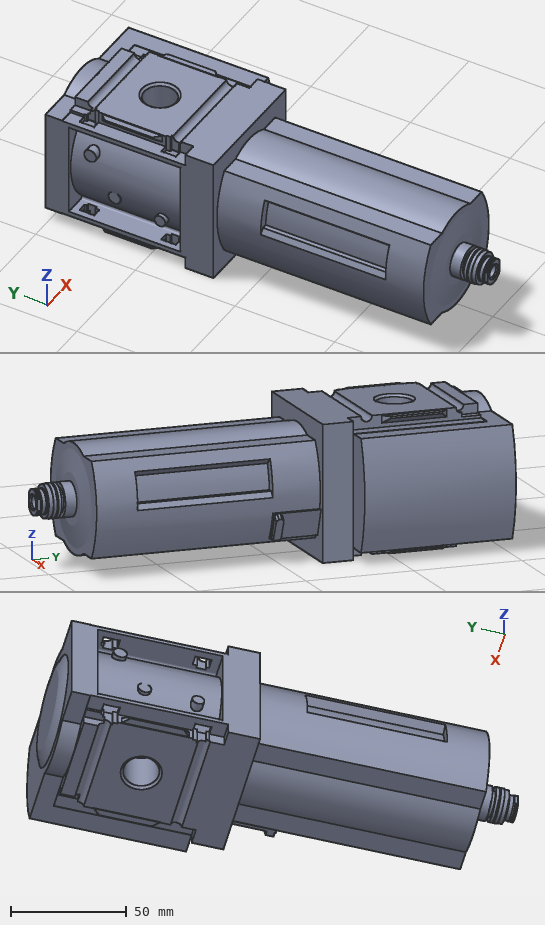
import cadquery as cq
import math


WIDTH = 62.0
HALF = WIDTH / 2
REAR_Y = 84.4
REAR_PLATE = 8.4
BLOCK_REAR_Y = REAR_Y - REAR_PLATE
COLLAR_LENGTH = 14.2
COVER_HALF_HEIGHT = 25.5
STRIP_STEP = 0.2
STRIP_HALF_HEIGHT = COVER_HALF_HEIGHT - STRIP_STEP
BLOCK_HALF_WIDTH = 23.9

COVER_CORNER_X = 40.2
COVER_CREST_X = 44.8
BUMP_HALF_WIDTH = 14.9
BUMP_TOP = 30.4
DOME_RADIUS = 25.1
DOME_FLAT_RADIUS = 17.8
DOME_HEIGHT = 2.5
DOME_MID_RADIUS = 22.2
DOME_MID_HEIGHT = 1.5

PORT_Y = 45.0
PORT_DIAMETER = 15.7
PORT_MOUTH_DIAMETER = 18.0
PORT_CHAMFER = (PORT_MOUTH_DIAMETER - PORT_DIAMETER) / 2
PORT_DEPTH = 21.0
GROOVE_OFFSET = 22.0
GROOVE_RADIUS = 2.5
TONGUE_HALF_WIDTH = 19.9
NOTCH_FRONT_Y = 67.2
NOTCH_FLOOR = 26.5

LUG_REACH = 3.1
LUG_LENGTH = 30.1
LUG_TOP = 30.5
LUG_ROOT = 27.2
LUG_TIP = 29.7

WINDOW_REAR_Y = 72.6
WINDOW_FRONT_Y = 16.7
WINDOW_HALF_HEIGHT = 23.0
WINDOW_FLOOR_X = -19.9
WINDOW_CORNER_FILLET = 1.3
DRUM_RADIUS = 29.3
PINS = [
    (62.4, 10.9, 6.0, -30.1),
    (51.0, -8.5, 6.0, -28.7),
    (27.5, -11.0, 5.5, -30.1),
]
PIN_ROOT_X = -23.0
CLIP_SLOT_OFFSET = 20.5
CLIP_SLOT_LENGTH = 7.3
CLIP_SLOT_OUTER_X = -27.6
CLIP_SLOT_INNER_X = -23.2
CLIP_NECK_OFFSET = 21.0
CLIP_NECK_LENGTH = 4.2
CLIP_NECK_INNER_X = -22.0

BOWL_LENGTH = 103.6
BOWL_CORNER = 21.8
BOWL_SIDE_X = 28.0
BOWL_ROUND_RADIUS = 25.0
SIGHT_REAR_Y = -22.0
SIGHT_LENGTH = 62.5
SIGHT_DEPTH = 4.2
SIGHT_TOP = 16.1
SIGHT_FLOOR_TOP = 13.5
SIGHT_FLOOR_BOTTOM = 2.0
SIGHT_BOTTOM = -0.5
SIGHT_CHAMFER_X = 26.2

LATCH_TOP = -7.5
LATCH_BOTTOM = -19.9
LATCH_TOP_X = 28.9
LATCH_BOTTOM_X = 24.7
LATCH_ROOT = 3.3
LATCH_LENGTH = 21.8
RIDGE_LENGTH = 3.5
RIDGE_SETBACK = 0.5
RIDGE_REACH = 2.0
RIDGE_TIP_INSET = 1.0

CONE_RADIUS = 21.8
CONE_TIP_RADIUS = 11.7
CONE_HEIGHT = 1.5
NECK_DIAMETER = 15.7
NECK_RADIUS = NECK_DIAMETER / 2
NECK_END = 6.7
STEM_RADIUS = 5.9
RIM_RADIUS = 5.9
TIP_RADIUS = 5.7
TIP_FLATS_HALF_WIDTH = 5.0
NOZZLE_END = 18.8
DRAIN_BORE_DIAMETER = 6.0
DRAIN_MOUTH_CHAMFER = 0.6
DRAIN_BORE_DEPTH = 10.5
RINGS = [
    (8.4, 9.8, NECK_RADIUS),
    (10.5, 12.1, NECK_RADIUS),
    (12.1, 14.2, 7.5),
]
STEM_END = 14.9
TIP_FLATS_START = 17.2
TIP_RIMS = [(16.7, 17.5), (18.2, NOZZLE_END)]


def box(x0, x1, y0, y1, z0, z1):
    """Box between two opposite corners."""
    return cq.Workplane("XY").box(x1 - x0, y1 - y0, z1 - z0, centered=False).translate((x0, y0, z0))


def prism(outline, y0, y1):
    """Extrude a closed XZ wire from y0 to y1; the XZ workplane extrudes toward -Y."""
    return outline.close().extrude(y1 - y0).translate((0, y1, 0))


def cylinder_y(radius, y0, y1):
    """Cylinder about the Y axis from y0 to y1."""
    return cq.Workplane("XZ").circle(radius).extrude(y1 - y0).translate((0, y1, 0))


def both_sides_z(shape):
    """A shape together with its mirror image below."""
    return shape.union(shape.mirror("XY"))



def main_block():
    collar = box(-HALF, HALF, 0, COLLAR_LENGTH, -HALF, HALF)
    strips = box(-HALF, HALF, 0, BLOCK_REAR_Y, -STRIP_HALF_HEIGHT, STRIP_HALF_HEIGHT)
    block = box(-BLOCK_HALF_WIDTH, BLOCK_HALF_WIDTH, 0, BLOCK_REAR_Y, -HALF, HALF)
    return collar.union(strips).union(block)


def rear_plate():
    plate = box(-HALF, HALF, BLOCK_REAR_Y, REAR_Y, -COVER_HALF_HEIGHT, COVER_HALF_HEIGHT)
    bump_outline = (
        cq.Workplane("XZ")
        .moveTo(-BUMP_HALF_WIDTH, 0)
        .lineTo(-BUMP_HALF_WIDTH, COVER_HALF_HEIGHT)
        .threePointArc((0, BUMP_TOP), (BUMP_HALF_WIDTH, COVER_HALF_HEIGHT))
        .lineTo(BUMP_HALF_WIDTH, 0)
    )
    bump = prism(bump_outline, BLOCK_REAR_Y, REAR_Y)
    return plate.union(both_sides_z(bump))


def rear_dome():
    return (
        cq.Workplane("XY")
        .moveTo(0, BLOCK_REAR_Y)
        .lineTo(DOME_RADIUS, BLOCK_REAR_Y)
        .lineTo(DOME_RADIUS, REAR_Y)
        .threePointArc(
            (DOME_MID_RADIUS, REAR_Y + DOME_MID_HEIGHT),
            (DOME_FLAT_RADIUS, REAR_Y + DOME_HEIGHT),
        )
        .lineTo(0, REAR_Y + DOME_HEIGHT)
        .close()
        .revolve(360, (0, 0, 0), (0, 1, 0))
    )


def side_cover():
    outline = (
        cq.Workplane("XZ")
        .moveTo(HALF, -COVER_HALF_HEIGHT)
        .lineTo(COVER_CORNER_X, -COVER_HALF_HEIGHT)
        .threePointArc((COVER_CREST_X, 0), (COVER_CORNER_X, COVER_HALF_HEIGHT))
        .lineTo(HALF, COVER_HALF_HEIGHT)
    )
    return prism(outline, COLLAR_LENGTH, REAR_Y)


def grip_lugs():
    """Trapezoid lugs with sloping undersides on both sides of the top and bottom blocks."""
    tip_x = BLOCK_HALF_WIDTH + LUG_REACH
    half_length = LUG_LENGTH / 2
    section = (
        cq.Workplane("XZ")
        .moveTo(TONGUE_HALF_WIDTH, LUG_ROOT)
        .lineTo(BLOCK_HALF_WIDTH, LUG_ROOT)
        .lineTo(tip_x, LUG_TIP)
        .lineTo(tip_x, LUG_TOP)
        .lineTo(TONGUE_HALF_WIDTH, LUG_TOP)
    )
    bar = prism(section, PORT_Y - half_length, PORT_Y + half_length)
    plan = (
        cq.Workplane("XY")
        .moveTo(TONGUE_HALF_WIDTH, PORT_Y - half_length)
        .lineTo(BLOCK_HALF_WIDTH, PORT_Y - half_length)
        .lineTo(tip_x, PORT_Y - half_length + LUG_REACH)
        .lineTo(tip_x, PORT_Y + half_length - LUG_REACH)
        .lineTo(BLOCK_HALF_WIDTH, PORT_Y + half_length)
        .lineTo(TONGUE_HALF_WIDTH, PORT_Y + half_length)
        .close()
        .extrude(HALF)
    )
    lug = bar.intersect(plan)
    return both_sides_z(lug.union(lug.mirror("YZ")))


def mounting_cuts():
    """Round grooves across the block, and the two lowered corners behind the rear groove."""
    cuts = box(TONGUE_HALF_WIDTH, BLOCK_HALF_WIDTH, NOTCH_FRONT_Y, BLOCK_REAR_Y, NOTCH_FLOOR, HALF)
    cuts = cuts.union(cuts.mirror("YZ"))
    for offset in (-GROOVE_OFFSET, GROOVE_OFFSET):
        groove = (
            cq.Workplane("YZ", origin=(-BLOCK_HALF_WIDTH, 0, 0))
            .center(PORT_Y + offset, HALF)
            .circle(GROOVE_RADIUS)
            .extrude(2 * BLOCK_HALF_WIDTH)
        )
        cuts = cuts.union(groove)
    return both_sides_z(cuts)


def ports():
    """Blind ports with chamfered mouths in the top and bottom of the block."""
    radius = PORT_DIAMETER / 2
    port = (
        cq.Workplane("XZ")
        .moveTo(0, HALF - PORT_DEPTH)
        .lineTo(radius, HALF - PORT_DEPTH)
        .lineTo(radius, HALF - PORT_CHAMFER)
        .lineTo(radius + PORT_CHAMFER, HALF)
        .lineTo(0, HALF)
        .close()
        .revolve(360, (0, 0, 0), (0, 1, 0))
        .translate((0, PORT_Y, 0))
    )
    return both_sides_z(port)


def side_window():
    """Rectangular opening with filleted inner corners around the round drum."""
    opening = box(
        -HALF, WINDOW_FLOOR_X, WINDOW_FRONT_Y, WINDOW_REAR_Y, -WINDOW_HALF_HEIGHT, WINDOW_HALF_HEIGHT
    )
    opening = opening.edges("|Y and >X").fillet(WINDOW_CORNER_FILLET)
    return opening.cut(cylinder_y(DRUM_RADIUS, WINDOW_FRONT_Y, WINDOW_REAR_Y))


def window_pins():
    pins = cq.Workplane("XY")
    for y, z, diameter, end_x in PINS:
        pin = (
            cq.Workplane("YZ", origin=(end_x, 0, 0))
            .center(y, z)
            .circle(diameter / 2)
            .extrude(PIN_ROOT_X - end_x)
        )
        pins = pins.union(pin)
    return pins


def clip_slots():
    """Stepped slots through the strips above and below the window."""
    slots = cq.Workplane("XY")
    for side in (-1, 1):
        slot_y = PORT_Y + side * CLIP_SLOT_OFFSET
        neck_y = PORT_Y + side * CLIP_NECK_OFFSET
        slot = box(
            CLIP_SLOT_OUTER_X,
            CLIP_SLOT_INNER_X,
            slot_y - CLIP_SLOT_LENGTH / 2,
            slot_y + CLIP_SLOT_LENGTH / 2,
            WINDOW_HALF_HEIGHT,
            HALF,
        )
        neck = box(
            CLIP_SLOT_INNER_X,
            CLIP_NECK_INNER_X,
            neck_y - CLIP_NECK_LENGTH / 2,
            neck_y + CLIP_NECK_LENGTH / 2,
            WINDOW_HALF_HEIGHT,
            HALF,
        )
        slots = slots.union(slot).union(neck)
    return both_sides_z(slots)


def make_housing():
    housing = main_block().union(rear_plate()).union(rear_dome()).union(side_cover())
    housing = housing.union(grip_lugs())
    housing = housing.cut(mounting_cuts()).cut(ports())
    housing = housing.cut(side_window()).cut(clip_slots())
    return housing.union(window_pins())



SIDE_RISE = BOWL_SIDE_X - BOWL_CORNER
SIDE_RADIUS = (BOWL_CORNER**2 + SIDE_RISE**2) / (2 * SIDE_RISE)
SIDE_CENTER_X = BOWL_SIDE_X - SIDE_RADIUS


def side_x(z, depth=0.0):
    """X of the +X side arc at height z, set in by a depth."""
    return SIDE_CENTER_X + math.sqrt((SIDE_RADIUS - depth) ** 2 - z**2)


def bowl_shell():
    outline = (
        cq.Workplane("XZ")
        .moveTo(-BOWL_CORNER, BOWL_CORNER)
        .lineTo(BOWL_CORNER, BOWL_CORNER)
        .threePointArc((BOWL_SIDE_X, 0), (BOWL_CORNER, -BOWL_CORNER))
        .lineTo(-BOWL_CORNER, -BOWL_CORNER)
        .threePointArc((-BOWL_SIDE_X, 0), (-BOWL_CORNER, BOWL_CORNER))
    )
    return prism(outline, -BOWL_LENGTH, 0).union(cylinder_y(BOWL_ROUND_RADIUS, -BOWL_LENGTH, 0))


def sight_windows():
    """Recesses in both sides with a curved floor that follows the side of the bowl."""
    floor_mid = (SIGHT_FLOOR_TOP + SIGHT_FLOOR_BOTTOM) / 2
    outline = (
        cq.Workplane("XZ")
        .moveTo(HALF, SIGHT_TOP)
        .lineTo(side_x(SIGHT_TOP), SIGHT_TOP)
        .lineTo(side_x(SIGHT_FLOOR_TOP, SIGHT_DEPTH), SIGHT_FLOOR_TOP)
        .threePointArc(
            (side_x(floor_mid, SIGHT_DEPTH), floor_mid),
            (side_x(SIGHT_FLOOR_BOTTOM, SIGHT_DEPTH), SIGHT_FLOOR_BOTTOM),
        )
        .lineTo(SIGHT_CHAMFER_X, SIGHT_FLOOR_BOTTOM)
        .lineTo(side_x(SIGHT_BOTTOM), SIGHT_BOTTOM)
        .lineTo(HALF, SIGHT_BOTTOM)
    )
    recess = prism(outline, SIGHT_REAR_Y - SIGHT_LENGTH, SIGHT_REAR_Y)
    return recess.union(recess.mirror("YZ"))


def latch():
    """Slanted plate on the +X side with a wedge ridge across its free end."""
    plate_outline = cq.Workplane("XZ").polyline([
        (LATCH_TOP_X - LATCH_ROOT, LATCH_TOP),
        (LATCH_TOP_X, LATCH_TOP),
        (LATCH_BOTTOM_X, LATCH_BOTTOM),
        (LATCH_BOTTOM_X - LATCH_ROOT, LATCH_BOTTOM),
    ])
    plate = prism(plate_outline, -LATCH_LENGTH, 0)
    ridge_outline = cq.Workplane("XZ").polyline([
        (LATCH_TOP_X, LATCH_TOP),
        (LATCH_TOP_X + RIDGE_REACH, LATCH_TOP - RIDGE_REACH),
        (LATCH_BOTTOM_X + RIDGE_REACH, LATCH_BOTTOM),
        (LATCH_BOTTOM_X, LATCH_BOTTOM),
    ])
    ridge_front_y = RIDGE_SETBACK - LATCH_LENGTH
    ridge = prism(ridge_outline, ridge_front_y, ridge_front_y + RIDGE_LENGTH)
    tip_edges = ridge.faces("|Y").edges(">X")
    return plate.union(tip_edges.chamfer(RIDGE_TIP_INSET))


def end_cone():
    return (
        cq.Workplane("XY")
        .moveTo(0, -BOWL_LENGTH)
        .lineTo(CONE_RADIUS, -BOWL_LENGTH)
        .lineTo(CONE_TIP_RADIUS, -BOWL_LENGTH - CONE_HEIGHT)
        .lineTo(0, -BOWL_LENGTH - CONE_HEIGHT)
        .close()
        .revolve(360, (0, 0, 0), (0, 1, 0))
    )


def nozzle_section(start, end, radius):
    """Round section of the nozzle between two distances beyond the end of the bowl."""
    return cylinder_y(radius, -BOWL_LENGTH - end, -BOWL_LENGTH - start)


def drain_nozzle():
    nozzle = nozzle_section(0, NECK_END, NECK_RADIUS)
    nozzle = nozzle.union(nozzle_section(0, STEM_END, STEM_RADIUS))
    nozzle = nozzle.union(nozzle_section(0, NOZZLE_END, TIP_RADIUS))
    for start, end, radius in RINGS:
        nozzle = nozzle.union(nozzle_section(start, end, radius))
    for start, end in TIP_RIMS:
        nozzle = nozzle.union(nozzle_section(start, end, RIM_RADIUS))
    bore_radius = DRAIN_BORE_DIAMETER / 2
    bore = nozzle_section(NOZZLE_END - DRAIN_BORE_DEPTH, NOZZLE_END, bore_radius)
    mouth = (
        cq.Workplane("XZ", origin=(0, -BOWL_LENGTH - NOZZLE_END, 0))
        .circle(bore_radius + DRAIN_MOUTH_CHAMFER)
        .workplane(offset=-DRAIN_MOUTH_CHAMFER)
        .circle(bore_radius)
        .loft()
    )
    return nozzle.cut(bore).cut(mouth).cut(tip_flats())


def tip_flats():
    """Blocks that trim the nozzle tip flat on its -X and +X sides."""
    flat = box(
        TIP_FLATS_HALF_WIDTH,
        NECK_RADIUS,
        -BOWL_LENGTH - NOZZLE_END,
        -BOWL_LENGTH - TIP_FLATS_START,
        -NECK_RADIUS,
        NECK_RADIUS,
    )
    return flat.union(flat.mirror("YZ"))


def make_bowl():
    bowl = bowl_shell().cut(sight_windows())
    return bowl.union(latch()).union(end_cone()).union(drain_nozzle())


housing = make_housing()
bowl = make_bowl()

result = cq.Compound.makeCompound([housing.solids().val(), bowl.solids().val()])